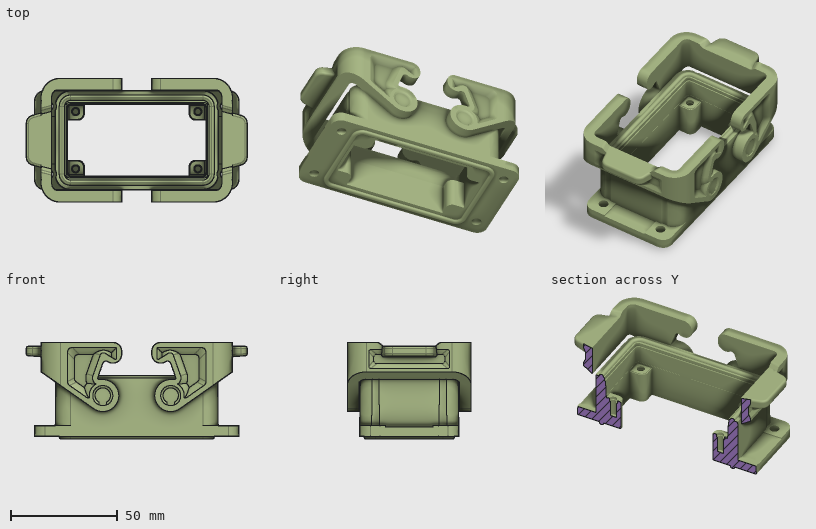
import math

import cadquery as cq

FLANGE_LENGTH = 95.75
FLANGE_WIDTH = 46.5
FLANGE_HEIGHT = 5.0
FLANGE_CORNER_RADIUS = 5.0
SCREW_X = 41.5
SCREW_Y = 15.9
SCREW_DIAMETER = 4.6
SCREW_HEAD_CLEARANCE_RADIUS = 3.9
FLANGE_STEP_WIDTH = 22.4
FLANGE_STEP_DEPTH = 0.6

BODY_LENGTH = 76.4
BODY_WIDTH = FLANGE_WIDTH
BODY_TOP = 27.25
BODY_CORNER_RADIUS = 7.1
BODY_DRAFT = 0.5

OPENING_LENGTH = 64.6
OPENING_WIDTH = 33.5
OPENING_CORNER_RADIUS = 1.5
UPPER_OPENING_GROWTH = 0.2
UPPER_OPENING_FLOOR = 16.9
UPPER_OPENING_DRAFT = 2.0
MOUTH_GROWTH = 1.7
MOUTH_DEPTH = 1.8

BEAD_LENGTH = 72.6
BEAD_WIDTH = 42.3
BEAD_CORNER_RADIUS = 5.4
BEAD_THICKNESS = 2.5
BEAD_HEIGHT = 1.25
RIM_BEAD_ROUNDING = 1.2
BASE_BEAD_ROUNDING = 1.0

POST_X = 28.6
POST_Y = 13.4
POST_INNER_X = 24.5
POST_INNER_Y = 9.4
POST_CORNER_RADIUS = 3.1
POST_TOP = 15.7
POST_PAD_INSET = 0.4
POST_PAD_WALL_GAP = 0.6
POST_PAD_HEIGHT = 0.4
POST_HOLE_DIAMETER = 2.9
POST_COUNTERBORE_DIAMETER = 3.8
POST_COUNTERBORE_DEPTH = 1.5
POST_HOLE_DEPTH = 10.0

LEVER_TOP = 44.0
LEVER_LENGTH = 89.6
LEVER_WIDTH = 58.0
LEVER_CORNER_RADIUS = 9.0
LEVER_INNER_LENGTH = 79.6
LEVER_INNER_WIDTH = 46.9
LEVER_INNER_RADIUS = 3.0
LEVER_SLOPE = math.radians(35)
PIVOT_X = -15.9
PIVOT_Z = 19.1
PIVOT_EYE_RADIUS = 7.5
HOOK_TIP_X = -7.0
HOOK_RADIUS = 4.2
HOOK_BOTTOM_Z = 34.25
NOTCH_RADIUS = 1.6
NOTCH_TOP_Z = 35.2
NOTCH_LEAN = math.radians(19.5)
NOTCH_ROOT_FILLET = 0.7

RIB_WIDTH = 2.45
POCKET_LEFT_X = -32.4
POCKET_DEPTH = 2.0
POCKET_RAMP = 3.15
POCKET_CORNER_RADIUS = 4.3
POCKET_TIP_RADIUS = 0.6
POCKET_HUB_RADIUS = 1.6
POCKET_HUB_LIFT = 3.3
POCKET_FINGER_SLOPE = math.radians(32)
PIVOT_BOSS_RADIUS = 6.3

PIN_RADIUS = 4.7
PIN_FLOOR_RADIUS = 3.6
PIN_RECESS_DEPTH = 0.5
PIN_KEY_WIDTH = 3.6

TAB_END_X = -51.75
TAB_ROOT_HALF_WIDTH = 14.0
TAB_FLARE = math.radians(14.5)
TAB_TOP = 42.2
TAB_ROOT_BOTTOM = 36.9
TAB_END_BOTTOM = 37.75
TAB_CORNER_RADIUS = 4.0
TAB_ROUNDING = 1.1
DIP_TOP_HALF_WIDTH = 14.4
DIP_FLOOR_HALF_WIDTH = 12.2
DIP_ROUNDING = 1.7
END_POCKET_WIDTH = 37.8
END_POCKET_BOTTOM = 31.8
END_POCKET_TOP = 40.6
END_POCKET_DEPTH = 1.0
END_POCKET_RAMP = 2.2
END_POCKET_RADIUS = 0.9
END_POCKET_FLOOR_RADIUS = 1.5

OVERCUT = 1.0
SELECTOR_REACH = 1.0


def rounded_block(length, width, radius, bottom, top):
    """Upright block centred on the Z axis with rounded vertical edges."""
    block = cq.Workplane("XY").workplane(offset=bottom).rect(length, width)
    return block.extrude(top - bottom).edges("|Z").fillet(radius)


def four_corners(x, y):
    return [(sx * x, sy * y) for sx in (-1, 1) for sy in (-1, 1)]


def drafted_block(length, width, radius, height):
    """Block on z = 0 whose walls lean inwards by the housing draft."""
    outline = cq.Sketch().rect(length, width).vertices().fillet(radius)
    return cq.Workplane("XY").placeSketch(outline).extrude(height, taper=BODY_DRAFT)


def make_flange():
    flange = drafted_block(FLANGE_LENGTH, FLANGE_WIDTH, FLANGE_CORNER_RADIUS, FLANGE_HEIGHT)
    step = (
        cq.Workplane("XY")
        .workplane(offset=FLANGE_HEIGHT - FLANGE_STEP_DEPTH)
        .rect(FLANGE_LENGTH + OVERCUT, FLANGE_STEP_WIDTH)
        .extrude(FLANGE_STEP_DEPTH + OVERCUT)
    )
    return flange.cut(step)


def make_body():
    """Housing walls, with round clearances for the screw heads at the ends."""
    body = drafted_block(BODY_LENGTH, BODY_WIDTH, BODY_CORNER_RADIUS, BODY_TOP)
    clearances = (
        cq.Workplane("XY")
        .workplane(offset=FLANGE_HEIGHT)
        .pushPoints(four_corners(SCREW_X, SCREW_Y))
        .circle(SCREW_HEAD_CLEARANCE_RADIUS)
        .extrude(BODY_TOP)
    )
    return body.cut(clearances)


def make_screw_holes():
    holes = cq.Workplane("XY").pushPoints(four_corners(SCREW_X, SCREW_Y))
    return holes.circle(SCREW_DIAMETER / 2).extrude(FLANGE_HEIGHT)


def make_bead(rounding):
    """Sealing ring standing on z = 0 with its upper edges rounded."""
    ring = rounded_block(BEAD_LENGTH, BEAD_WIDTH, BEAD_CORNER_RADIUS, 0, BEAD_HEIGHT)
    inside = rounded_block(
        BEAD_LENGTH - 2 * BEAD_THICKNESS,
        BEAD_WIDTH - 2 * BEAD_THICKNESS,
        BEAD_CORNER_RADIUS - BEAD_THICKNESS,
        0,
        BEAD_HEIGHT,
    )
    return ring.cut(inside).faces(">Z").edges().fillet(rounding)


def make_opening():
    def stage(growth, bottom, draft=0):
        outline = (
            cq.Sketch()
            .rect(OPENING_LENGTH + growth, OPENING_WIDTH + growth)
            .vertices()
            .fillet(OPENING_CORNER_RADIUS)
        )
        plane = cq.Workplane("XY").workplane(offset=bottom)
        return plane.placeSketch(outline).extrude(BODY_TOP - bottom, taper=-draft)

    opening = stage(0, -BEAD_HEIGHT)
    opening = opening.union(stage(UPPER_OPENING_GROWTH, UPPER_OPENING_FLOOR, UPPER_OPENING_DRAFT))
    return opening.union(stage(MOUTH_GROWTH, BODY_TOP - MOUTH_DEPTH))


def make_post():
    """Post in the +X +Y corner of the opening, with a raised pad and a blind screw hole."""
    wall_x = OPENING_LENGTH / 2 + OVERCUT
    wall_y = OPENING_WIDTH / 2 + OVERCUT
    post = (
        cq.Workplane("XY")
        .moveTo(POST_INNER_X, POST_INNER_Y)
        .lineTo(wall_x, POST_INNER_Y)
        .lineTo(wall_x, wall_y)
        .lineTo(POST_INNER_X, wall_y)
        .close()
        .extrude(POST_TOP)
        .edges("|Z and <X and <Y")
        .fillet(POST_CORNER_RADIUS)
    )
    pad_length = OPENING_LENGTH / 2 - POST_INNER_X - POST_PAD_INSET - POST_PAD_WALL_GAP
    pad_width = OPENING_WIDTH / 2 - POST_INNER_Y - POST_PAD_INSET - POST_PAD_WALL_GAP
    pad = (
        cq.Workplane("XY")
        .box(pad_length, pad_width, POST_PAD_HEIGHT, centered=False)
        .edges("|Z and <X and <Y")
        .fillet(POST_CORNER_RADIUS - POST_PAD_INSET)
        .translate((POST_INNER_X + POST_PAD_INSET, POST_INNER_Y + POST_PAD_INSET, POST_TOP))
    )
    return (
        post.union(pad)
        .faces(">Z")
        .workplane(origin=(POST_X, POST_Y, 0))
        .cboreHole(POST_HOLE_DIAMETER, POST_COUNTERBORE_DIAMETER, POST_COUNTERBORE_DEPTH, POST_HOLE_DEPTH)
    )


def make_housing():
    housing = make_flange().union(make_body()).cut(make_screw_holes())
    housing = housing.union(make_bead(RIM_BEAD_ROUNDING).translate((0, 0, BODY_TOP)))
    housing = housing.union(make_bead(BASE_BEAD_ROUNDING).mirror("XY"))
    housing = housing.cut(make_opening())
    post = make_post()
    for row in (post, post.mirror("XZ")):
        housing = housing.union(row).union(row.mirror("YZ"))
    return housing


LEVER_END_X = -LEVER_LENGTH / 2
LEVER_INNER_X = -LEVER_INNER_LENGTH / 2
HOOK_X = HOOK_TIP_X - HOOK_RADIUS
HOOK_Z = HOOK_BOTTOM_Z + HOOK_RADIUS
EYE_TOP_Z = PIVOT_Z + PIVOT_EYE_RADIUS
NOTCH_Z = NOTCH_TOP_Z - NOTCH_RADIUS
NOTCH_X = HOOK_X - math.sqrt((HOOK_RADIUS + NOTCH_RADIUS) ** 2 - (HOOK_Z - NOTCH_Z) ** 2)
FLANK_TOP = (
    NOTCH_X - NOTCH_RADIUS * math.cos(NOTCH_LEAN),
    NOTCH_Z + NOTCH_RADIUS * math.sin(NOTCH_LEAN),
)
FLANK_BOTTOM_X = FLANK_TOP[0] - (FLANK_TOP[1] - EYE_TOP_Z) * math.tan(NOTCH_LEAN)
ROOT_Z = EYE_TOP_Z + NOTCH_ROOT_FILLET
ROOT_X = FLANK_BOTTOM_X + NOTCH_ROOT_FILLET * (math.tan(NOTCH_LEAN) + 1 / math.cos(NOTCH_LEAN))


def polar(x, z, radius, angle):
    return (x + radius * math.cos(angle), z + radius * math.sin(angle))


FLANK_ANGLE = math.pi - NOTCH_LEAN
ROOT_MIDDLE_ANGLE = (FLANK_ANGLE + 1.5 * math.pi) / 2
SLOPE_ANGLE = 1.5 * math.pi - LEVER_SLOPE


def slope_height(touch, x):
    """Height at `x` of the sloping lower edge that passes through `touch`."""
    return touch[1] + (touch[0] - x) * math.tan(LEVER_SLOPE)


def lever_outline():
    """Closed outline of the left lever seen from its side."""
    upper_hook_z = LEVER_TOP - HOOK_RADIUS
    to_notch = math.atan2(NOTCH_Z - HOOK_Z, NOTCH_X - HOOK_X)
    to_hook = to_notch + math.pi
    touch = polar(PIVOT_X, PIVOT_Z, PIVOT_EYE_RADIUS, SLOPE_ANGLE)
    return (
        cq.Workplane("XZ")
        .moveTo(LEVER_END_X, LEVER_TOP)
        .lineTo(HOOK_X, LEVER_TOP)
        .threePointArc(
            polar(HOOK_X, upper_hook_z, HOOK_RADIUS, math.pi / 4), (HOOK_TIP_X, upper_hook_z)
        )
        .lineTo(HOOK_TIP_X, HOOK_Z)
        .threePointArc(
            polar(HOOK_X, HOOK_Z, HOOK_RADIUS, to_notch / 2),
            polar(HOOK_X, HOOK_Z, HOOK_RADIUS, to_notch),
        )
        .threePointArc(
            polar(NOTCH_X, NOTCH_Z, NOTCH_RADIUS, (to_hook + FLANK_ANGLE) / 2), FLANK_TOP
        )
        .lineTo(*polar(ROOT_X, ROOT_Z, NOTCH_ROOT_FILLET, FLANK_ANGLE))
        .threePointArc(
            polar(ROOT_X, ROOT_Z, NOTCH_ROOT_FILLET, ROOT_MIDDLE_ANGLE), (ROOT_X, EYE_TOP_Z)
        )
        .lineTo(PIVOT_X, EYE_TOP_Z)
        .threePointArc(polar(PIVOT_X, PIVOT_Z, PIVOT_EYE_RADIUS, -LEVER_SLOPE / 2), touch)
        .lineTo(LEVER_END_X, slope_height(touch, LEVER_END_X))
        .close()
    )


FACE_Y = -LEVER_WIDTH / 2
FLOOR_Y = FACE_Y + POCKET_DEPTH


def cone_ramp(x, z, radius):
    """Material round a centre, spreading from `radius` at the face to the pocket floor."""
    cone = cq.Solid.makeCone(
        radius, radius + POCKET_RAMP, POCKET_DEPTH, cq.Vector(x, FACE_Y, z), cq.Vector(0, 1, 0)
    )
    return cq.Workplane(obj=cone)


def straight_ramp(start, end):
    """Sloping wall along an edge; the pocket lies to the right of start -> end."""
    length = math.dist(start, end)
    angle = math.degrees(math.atan2(end[1] - start[1], end[0] - start[0]))
    ramp = (
        cq.Workplane("YZ")
        .polyline([(0, 0), (POCKET_DEPTH, 0), (POCKET_DEPTH, -POCKET_RAMP)])
        .close()
        .extrude(length)
    )
    return ramp.rotate((0, 0, 0), (0, 1, 0), -angle).translate((start[0], FACE_Y, start[1]))


def near(x, z):
    """Selector for pocket edges whose middle lies close to (x, z) on the -Y side."""
    return cq.selectors.BoxSelector(
        (x - SELECTOR_REACH, FACE_Y, z - SELECTOR_REACH),
        (x + SELECTOR_REACH, FLOOR_Y, z + SELECTOR_REACH),
    )


def make_side_pocket():
    """Cutter for the pocket in the -Y side of the left lever, one rib width inside its outline."""
    left = POCKET_LEFT_X
    right = HOOK_TIP_X - RIB_WIDTH
    top = LEVER_TOP - RIB_WIDTH
    slope_low = polar(PIVOT_X, PIVOT_Z, PIVOT_EYE_RADIUS - RIB_WIDTH, SLOPE_ANGLE)
    slope_high = (left, slope_height(slope_low, left))

    hub_foot = polar(*FLANK_TOP, RIB_WIDTH - POCKET_HUB_RADIUS, FLANK_ANGLE)
    hub = polar(*hub_foot, POCKET_HUB_LIFT, FLANK_ANGLE - math.pi / 2)
    finger_angle = math.pi / 2 - POCKET_FINGER_SLOPE
    finger_start = polar(*hub, POCKET_HUB_RADIUS, finger_angle)
    finger_drop = (right - finger_start[0]) * math.tan(POCKET_FINGER_SLOPE)
    finger_tip = (right, finger_start[1] - finger_drop)
    flank_high = polar(*hub, POCKET_HUB_RADIUS, FLANK_ANGLE)
    root_radius = NOTCH_ROOT_FILLET + RIB_WIDTH
    flank_low = polar(ROOT_X, ROOT_Z, root_radius, FLANK_ANGLE)

    boss = cq.Solid.makeCylinder(
        PIVOT_BOSS_RADIUS, POCKET_DEPTH, cq.Vector(PIVOT_X, FACE_Y, PIVOT_Z), cq.Vector(0, 1, 0)
    )
    pocket = (
        cq.Workplane("XZ", origin=(0, FACE_Y, 0))
        .moveTo(left, top)
        .lineTo(right, top)
        .lineTo(*finger_tip)
        .lineTo(*finger_start)
        .threePointArc(
            polar(*hub, POCKET_HUB_RADIUS, (finger_angle + FLANK_ANGLE) / 2), flank_high
        )
        .lineTo(*flank_low)
        .threePointArc(
            polar(ROOT_X, ROOT_Z, root_radius, ROOT_MIDDLE_ANGLE), (ROOT_X, ROOT_Z - root_radius)
        )
        .lineTo(PIVOT_X, ROOT_Z - root_radius)
        .lineTo(*slope_low)
        .lineTo(*slope_high)
        .close()
        .extrude(-POCKET_DEPTH)
        .cut(cq.Workplane(obj=boss))
    )
    tail_reach = math.sqrt(PIVOT_BOSS_RADIUS**2 - (PIVOT_EYE_RADIUS - RIB_WIDTH) ** 2)
    tail = polar(*slope_low, tail_reach, math.pi - LEVER_SLOPE)
    for tip in ((right, top), finger_tip, tail):
        pocket = pocket.edges("|Y").edges(near(*tip)).fillet(POCKET_TIP_RADIUS)

    ramps = [
        cone_ramp(PIVOT_X, PIVOT_Z, PIVOT_BOSS_RADIUS),
        cone_ramp(*hub, POCKET_HUB_RADIUS),
        cone_ramp(ROOT_X, ROOT_Z, root_radius),
        straight_ramp(flank_high, flank_low),
        straight_ramp(finger_tip, finger_start),
        straight_ramp((left, top), (right, top)),
        straight_ramp((right, top), finger_tip),
        straight_ramp(slope_low, slope_high),
        straight_ramp(slope_high, (left, top)),
    ]
    for ramp in ramps:
        pocket = pocket.cut(ramp)

    half_ramp = POCKET_RAMP / 2
    slope_corner_z = slope_high[1] + half_ramp * math.tan((math.pi / 2 - LEVER_SLOPE) / 2)
    for corner_z in (top - half_ramp, slope_corner_z):
        pocket = pocket.edges(near(left + half_ramp, corner_z)).fillet(POCKET_CORNER_RADIUS)
    return pocket


def make_end_pocket():
    """Cutter for the shallow sloped-wall pocket in the lever end face."""
    height = END_POCKET_TOP - END_POCKET_BOTTOM
    middle_z = (END_POCKET_TOP + END_POCKET_BOTTOM) / 2
    mouth = cq.Sketch().rect(END_POCKET_WIDTH, height).vertices().fillet(END_POCKET_RADIUS)
    floor = (
        cq.Sketch()
        .rect(END_POCKET_WIDTH - 2 * END_POCKET_RAMP, height - 2 * END_POCKET_RAMP)
        .vertices()
        .fillet(END_POCKET_FLOOR_RADIUS)
    )
    return (
        cq.Workplane("YZ", origin=(LEVER_END_X, 0, middle_z))
        .placeSketch(mouth, floor.moved(cq.Location(cq.Vector(0, 0, END_POCKET_DEPTH))))
        .loft()
    )


def make_dip():
    """Cutter for the dip above the tab; it widens towards the inside like the tab."""

    def section(x):
        widening = (x - LEVER_END_X) * math.tan(TAB_FLARE)
        floor_half = DIP_FLOOR_HALF_WIDTH + widening
        top_half = DIP_TOP_HALF_WIDTH + widening
        corners = [
            (-floor_half, TAB_TOP),
            (floor_half, TAB_TOP),
            (top_half, LEVER_TOP),
            (-top_half, LEVER_TOP),
        ]
        return cq.Wire.makePolygon([cq.Vector(x, y, z) for y, z in corners], close=True)

    dip = cq.Solid.makeLoft([section(LEVER_END_X - OVERCUT), section(LEVER_INNER_X + OVERCUT)], True)
    return cq.Workplane(obj=dip)


def round_dip(lever):
    """Round the two upper edges of the dip."""
    for side in (-1, 1):
        y = side * (DIP_TOP_HALF_WIDTH + (LEVER_INNER_X - LEVER_END_X) * math.tan(TAB_FLARE) / 2)
        x = (LEVER_INNER_X + LEVER_END_X) / 2
        edge = cq.selectors.NearestToPointSelector((x, y, LEVER_TOP))
        lever = lever.edges(edge).fillet(DIP_ROUNDING)
    return lever


def make_tab():
    """Handle tab, narrowing and thinning towards its rounded end."""
    end_half = TAB_ROOT_HALF_WIDTH - (LEVER_INNER_X - TAB_END_X) * math.tan(TAB_FLARE)
    plan = (
        cq.Workplane("XY")
        .polyline(
            [
                (LEVER_INNER_X, -TAB_ROOT_HALF_WIDTH),
                (LEVER_INNER_X, TAB_ROOT_HALF_WIDTH),
                (TAB_END_X, end_half),
                (TAB_END_X, -end_half),
            ]
        )
        .close()
        .extrude(LEVER_TOP)
        .edges("|Z and <X")
        .fillet(TAB_CORNER_RADIUS)
    )
    side = (
        cq.Workplane("XZ")
        .polyline(
            [
                (LEVER_INNER_X, TAB_TOP),
                (TAB_END_X, TAB_TOP),
                (TAB_END_X, TAB_END_BOTTOM),
                (LEVER_INNER_X, TAB_ROOT_BOTTOM),
            ]
        )
        .close()
        .extrude(TAB_ROOT_HALF_WIDTH, both=True)
    )
    tab = plan.intersect(side)
    return tab.faces(">Z or <Z").edges("not >X").fillet(TAB_ROUNDING)


def make_pin():
    """Pivot pin on the -Y side, reaching from the lever face into the housing wall."""
    reach = (LEVER_WIDTH - BODY_WIDTH) / 2 + OVERCUT
    start = cq.Vector(PIVOT_X, FACE_Y, PIVOT_Z)
    return cq.Workplane(obj=cq.Solid.makeCylinder(PIN_RADIUS, reach, start, cq.Vector(0, 1, 0)))


def make_pin_recess():
    """Dished recess in the pin face with a key slot at the bottom."""
    start = cq.Vector(PIVOT_X, FACE_Y, PIVOT_Z)
    dish = cq.Solid.makeCone(
        PIN_RADIUS, PIN_FLOOR_RADIUS, PIN_RECESS_DEPTH, start, cq.Vector(0, 1, 0)
    )
    key = (
        cq.Workplane("XZ", origin=(PIVOT_X, FACE_Y, PIVOT_Z - PIN_RADIUS / 2))
        .rect(PIN_KEY_WIDTH, PIN_RADIUS)
        .extrude(-PIN_RECESS_DEPTH)
    )
    round_limit = cq.Solid.makeCylinder(PIN_RADIUS, PIN_RECESS_DEPTH, start, cq.Vector(0, 1, 0))
    return cq.Workplane(obj=dish).union(key.intersect(cq.Workplane(obj=round_limit)))


def make_lever():
    """Lever on the -X end, including its pivot pins."""
    frame = rounded_block(LEVER_LENGTH, LEVER_WIDTH, LEVER_CORNER_RADIUS, 0, LEVER_TOP)
    inside = rounded_block(
        LEVER_INNER_LENGTH, LEVER_INNER_WIDTH, LEVER_INNER_RADIUS, 0, LEVER_TOP
    )
    side = lever_outline().extrude(LEVER_WIDTH / 2, both=True)
    lever = frame.cut(inside).intersect(side)
    lever = round_dip(lever.cut(make_dip()))
    lever = lever.cut(make_end_pocket()).union(make_tab())
    pocket = make_side_pocket()
    pin = make_pin()
    recess = make_pin_recess()
    lever = lever.cut(pocket).cut(pocket.mirror("XZ"))
    lever = lever.union(pin).union(pin.mirror("XZ"))
    return lever.cut(recess).cut(recess.mirror("XZ"))


lever = make_lever()
result = make_housing().union(lever).union(lever.mirror("YZ"))